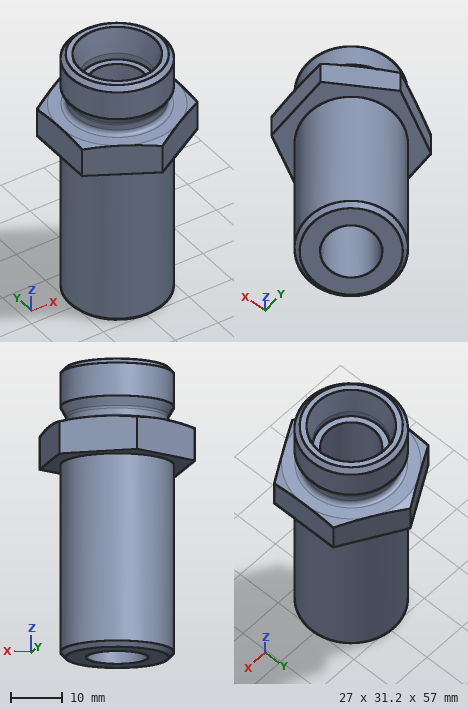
import cadquery as cq
import math

TOTAL_LENGTH = 57.0
HEX_BOTTOM = 38.0
HEX_TOP = 45.0

BODY_DIAMETER = 22.0
END_CHAMFER = 1.0

HEX_ACROSS_FLATS = 27.0
HEX_CHAMFER_ANGLE = 15.0

GROOVE_DIAMETER = 19.7
GROOVE_FILLET = 1.0
GROOVE_CONE_TOP = 49.5
GROOVE_CONE_HALF_ANGLE = 30.0

BORE_DIAMETER = 12.0
SOCKET_DIAMETER = 15.0
SOCKET_DEPTH = 7.0
SEAT_MOUTH_DIAMETER = 17.3
SEAT_HALF_ANGLE = 12.0


def make_body():
    """Revolve the round body, including the groove and end chamfers."""
    radius = BODY_DIAMETER / 2
    groove_radius = GROOVE_DIAMETER / 2
    bend = GROOVE_FILLET * (1 - math.sqrt(0.5))
    cone_angle = math.radians(GROOVE_CONE_HALF_ANGLE)
    cone_bottom = GROOVE_CONE_TOP - (radius - groove_radius) / math.tan(cone_angle)
    upper_fillet_start = cone_bottom - GROOVE_FILLET * math.tan(cone_angle / 2)

    def upper_fillet_point(angle):
        """Point on the upper fillet, turned by an angle from its start."""
        return (
            groove_radius + GROOVE_FILLET * (1 - math.cos(angle)),
            upper_fillet_start + GROOVE_FILLET * math.sin(angle),
        )

    return (
        cq.Workplane("XZ")
        .lineTo(radius - END_CHAMFER, 0)
        .lineTo(radius, END_CHAMFER)
        .lineTo(radius, HEX_TOP)
        .lineTo(groove_radius + GROOVE_FILLET, HEX_TOP)
        .threePointArc(
            (groove_radius + bend, HEX_TOP + bend),
            (groove_radius, HEX_TOP + GROOVE_FILLET),
        )
        .lineTo(groove_radius, upper_fillet_start)
        .threePointArc(upper_fillet_point(cone_angle / 2), upper_fillet_point(cone_angle))
        .lineTo(radius, GROOVE_CONE_TOP)
        .lineTo(radius, TOTAL_LENGTH - END_CHAMFER)
        .lineTo(radius - END_CHAMFER, TOTAL_LENGTH)
        .lineTo(0, TOTAL_LENGTH)
        .close()
        .revolve(360, (0, 0, 0), (0, 1, 0))
    )


def make_hexagon():
    """Make the hexagon and cut its upper corners with a shallow cone."""
    flat_radius = HEX_ACROSS_FLATS / 2
    corner_radius = flat_radius / math.cos(math.radians(30))
    corner_drop = (corner_radius - flat_radius) * math.tan(math.radians(HEX_CHAMFER_ANGLE))
    prism = (
        cq.Workplane("XY")
        .workplane(offset=HEX_BOTTOM)
        .polygon(6, 2 * corner_radius)
        .extrude(HEX_TOP - HEX_BOTTOM)
        .rotate((0, 0, 0), (0, 0, 1), 30)
    )
    envelope = (
        cq.Workplane("XZ")
        .moveTo(0, HEX_BOTTOM)
        .lineTo(corner_radius, HEX_BOTTOM)
        .lineTo(corner_radius, HEX_TOP - corner_drop)
        .lineTo(flat_radius, HEX_TOP)
        .lineTo(0, HEX_TOP)
        .close()
        .revolve(360, (0, 0, 0), (0, 1, 0))
    )
    return prism.intersect(envelope)


def make_bore():
    """Make the through bore, the socket and the tapered seat as one cutter."""
    socket_radius = SOCKET_DIAMETER / 2
    mouth_radius = SEAT_MOUTH_DIAMETER / 2
    seat_depth = (mouth_radius - socket_radius) / math.tan(math.radians(SEAT_HALF_ANGLE))
    return (
        cq.Workplane("XZ")
        .lineTo(BORE_DIAMETER / 2, 0)
        .lineTo(BORE_DIAMETER / 2, TOTAL_LENGTH - SOCKET_DEPTH)
        .lineTo(socket_radius, TOTAL_LENGTH - SOCKET_DEPTH)
        .lineTo(socket_radius, TOTAL_LENGTH - seat_depth)
        .lineTo(mouth_radius, TOTAL_LENGTH)
        .lineTo(0, TOTAL_LENGTH)
        .close()
        .revolve(360, (0, 0, 0), (0, 1, 0))
    )


result = make_body().union(make_hexagon()).cut(make_bore())